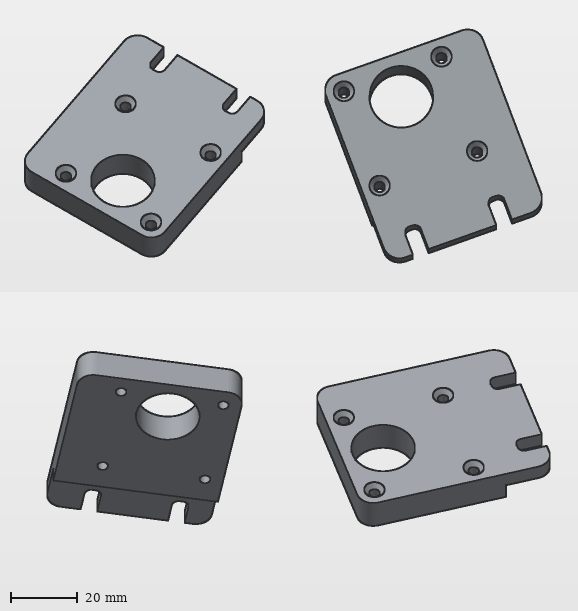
import cadquery as cq

width = 50.0
length = 60.0
thickness = 10.0
corner_radius = 5.0

tongue_length = 15.0
tongue_thickness = thickness / 2

slot_width = 5.0
slot_depth = 8.5
slot_corner_radius = 2.0
slot_spacing = 26.5

screw_spacing = 31.0
screw_left_margin = 13.5
screw_front_margin = 5.5
screw_diameter = 3.2
head_diameter = 6.1
head_recess_depth = 0.2
cone_depth = 1.45

bore_diameter = 19.0
bore_front_margin = 13.0

left_edge = -width / 2
front_edge = -length / 2
back_edge = length / 2

screw_left_x = left_edge + screw_left_margin
screw_front_y = front_edge + screw_front_margin
pattern_center_x = screw_left_x + screw_spacing / 2


def make_plate():
    """Full-thickness plate with rounded vertical corners."""
    plate = cq.Workplane("XY").box(width, length, thickness, centered=(True, True, False))
    return plate.edges("|Z").fillet(corner_radius)


def make_step():
    """Block removed from beneath the tongue."""
    return (
        cq.Workplane("XY")
        .box(width, tongue_length, thickness - tongue_thickness, centered=(True, False, False))
        .translate((0, back_edge - tongue_length, 0))
    )


def make_slot(center_x):
    """Slot open at the +Y edge, with rounded inner corners."""
    return (
        cq.Workplane("XY")
        .box(slot_width, slot_depth, thickness, centered=(True, False, False))
        .edges("|Z and <Y")
        .fillet(slot_corner_radius)
        .translate((center_x, back_edge - slot_depth, 0))
    )


def make_screw_hole(center_x, center_y):
    """Revolved cutter: through hole, countersink cone and shallow straight recess."""
    hole_radius = screw_diameter / 2
    head_radius = head_diameter / 2
    cone_top = thickness - head_recess_depth
    return (
        cq.Workplane("XZ")
        .moveTo(0, 0)
        .lineTo(hole_radius, 0)
        .lineTo(hole_radius, cone_top - cone_depth)
        .lineTo(head_radius, cone_top)
        .lineTo(head_radius, thickness)
        .lineTo(0, thickness)
        .close()
        .revolve(360, (0, 0, 0), (0, 1, 0))
        .translate((center_x, center_y, 0))
    )


def make_bore():
    """Cylinder removed for the large through hole."""
    return (
        cq.Workplane("XY")
        .center(pattern_center_x, front_edge + bore_front_margin)
        .circle(bore_diameter / 2)
        .extrude(thickness)
    )


result = make_plate().cut(make_step())
for slot_index in range(2):
    result = result.cut(make_slot(screw_left_x + slot_index * slot_spacing))
for column in range(2):
    for row in range(2):
        hole_x = screw_left_x + column * screw_spacing
        hole_y = screw_front_y + row * screw_spacing
        result = result.cut(make_screw_hole(hole_x, hole_y))
result = result.cut(make_bore())